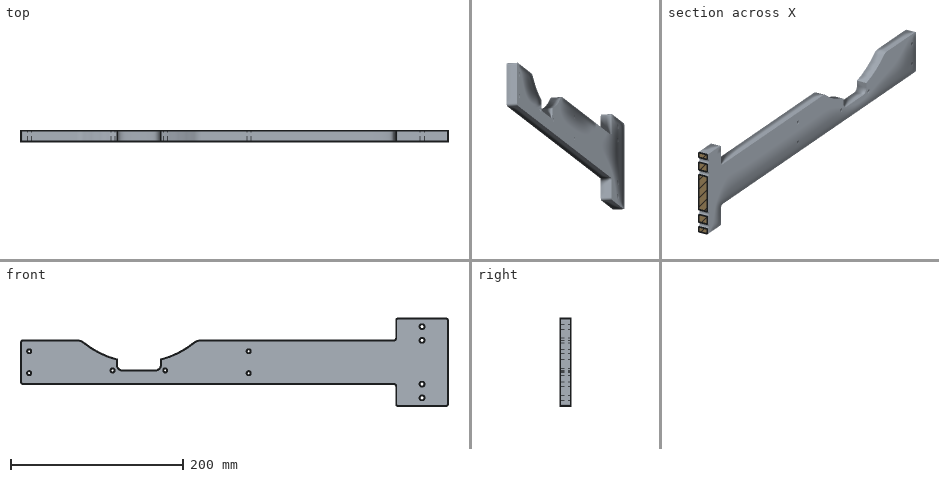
import cadquery as cq
import math

total_length = 495.3
thickness = 12.7
head_height = 101.6
arm_height = head_height / 2
head_length = 60.325
arm_length = total_length - head_length
corner_radius = 2.54

notch_center_x = 136.8
slot_width = 50.8
slot_floor_z = -9.525
slot_corner_radius = 6.35
scoop_radius = 101.6
scoop_bottom_z = 0.0
scoop_blend_radius = 12.7

arm_hole_diameter = 4.5
arm_hole_spacing_x = 254.6
arm_hole_spacing_z = arm_height / 2
slot_hole_spacing = 60.96
head_hole_diameter = 5.5
head_hole_x = total_length - head_length / 2
inner_head_hole_z = 25.4
outer_head_hole_z = 41.275


def plate_box(x_start, length, z_bottom, height):
    """Full-thickness block centred on Y, placed by its left end and bottom."""
    block = cq.Workplane("XY").box(length, thickness, height, centered=(False, True, False))
    return block.translate((x_start, 0, z_bottom))


def through_cylinder(x, z, radius):
    """Cylinder along Y that spans the plate thickness."""
    profile = cq.Workplane("XZ", origin=(x, 0, z)).circle(radius)
    return profile.extrude(thickness / 2, both=True)


def edges_near(body, x, z):
    """Edge running along Y through the point (x, z)."""
    return body.edges(cq.selectors.NearestToPointSelector((x, 0, z)))


def make_plate():
    """T-shaped plate with every corner rounded, including those between arm and head."""
    arm = plate_box(0, arm_length, -arm_height / 2, arm_height)
    arm = arm.edges("|Y and <X").fillet(corner_radius)
    head = plate_box(arm_length, head_length, -head_height / 2, head_height)
    head = head.edges("|Y").fillet(corner_radius)
    plate = arm.union(head)
    for side in (-1, 1):
        plate = edges_near(plate, arm_length, side * arm_height / 2).fillet(corner_radius)
    return plate


def cut_scoop(plate):
    """Wide circular scoop, blended into the upper edge of the arm."""
    scoop_center_z = scoop_bottom_z + scoop_radius
    plate = plate.cut(through_cylinder(notch_center_x, scoop_center_z, scoop_radius))
    rim_z = arm_height / 2
    rim_half_width = math.sqrt(scoop_radius**2 - (scoop_center_z - rim_z) ** 2)
    for side in (-1, 1):
        rim_x = notch_center_x + side * rim_half_width
        plate = edges_near(plate, rim_x, rim_z).fillet(scoop_blend_radius)
    return plate


def cut_slot(plate):
    """Straight-sided slot below the scoop, with rounded bottom corners."""
    slot_height = arm_height / 2 - slot_floor_z
    slot = plate_box(notch_center_x - slot_width / 2, slot_width, slot_floor_z, slot_height)
    slot = slot.edges("|Y and <Z").fillet(slot_corner_radius)
    return plate.cut(slot)


def drill_arm_holes(plate):
    """Two pairs of arm holes about the notch, and one hole on each side of the slot."""
    for side in (-1, 1):
        arm_hole_x = notch_center_x + side * arm_hole_spacing_x / 2
        for level in (-1, 1):
            arm_hole_z = level * arm_hole_spacing_z / 2
            plate = plate.cut(through_cylinder(arm_hole_x, arm_hole_z, arm_hole_diameter / 2))
        slot_hole_x = notch_center_x + side * slot_hole_spacing / 2
        plate = plate.cut(through_cylinder(slot_hole_x, slot_floor_z, arm_hole_diameter / 2))
    return plate


def drill_head_holes(plate):
    """Column of four holes along the middle of the head."""
    for level in (-1, 1):
        for hole_z in (inner_head_hole_z, outer_head_hole_z):
            plate = plate.cut(through_cylinder(head_hole_x, level * hole_z, head_hole_diameter / 2))
    return plate


result = make_plate()
result = cut_scoop(result)
result = cut_slot(result)
result = drill_arm_holes(result)
result = drill_head_holes(result)